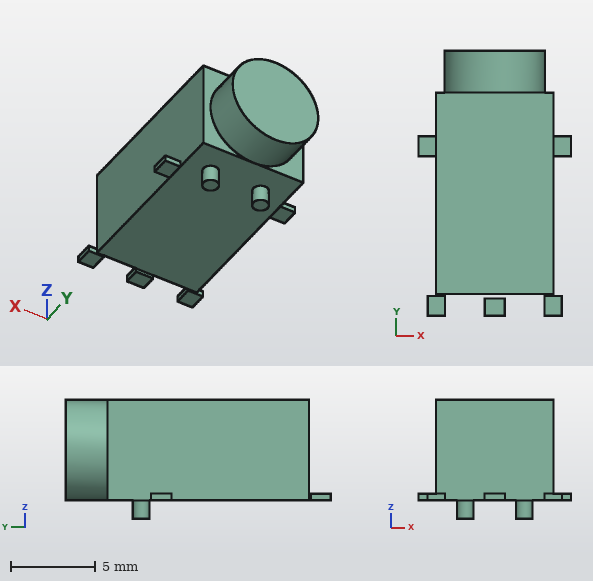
import cadquery as cq

housing_width = 7.0
housing_length = 12.0
housing_height = 6.0

barrel_diameter = 6.0
barrel_length = 2.5

peg_diameter = 1.0
peg_length = 1.1
peg_spacing = 3.5
peg_setback = 2.0

pad_thickness = 0.4
overall_width = 9.1
side_pad_length = 1.2
side_pad_setback = 2.6
rear_reach = 1.3
corner_pad_width = 1.05
corner_pad_length = 1.2
corner_pad_span = 8.0
centre_pad_width = 1.2
centre_pad_length = 1.05


def make_block(width, length, height, x_centre, y_start):
    """Upright block standing on Z = 0, running from y_start towards +Y."""
    return (
        cq.Workplane("XY")
        .box(width, length, height, centered=(True, False, False))
        .translate((x_centre, y_start, 0))
    )


def make_barrel():
    """Cylinder along Y that starts on the barrel-end face of the housing."""
    return (
        cq.Workplane("XZ", origin=(0, housing_length, housing_height / 2))
        .circle(barrel_diameter / 2)
        .extrude(-barrel_length)
    )


def make_peg(side):
    """Round peg hanging from the underside of the housing."""
    return (
        cq.Workplane("XY")
        .center(side * peg_spacing / 2, housing_length - peg_setback)
        .circle(peg_diameter / 2)
        .extrude(-peg_length)
    )


def make_side_pad(side):
    """Pad that touches a long side of the housing and reaches the overall width."""
    pad_width = (overall_width - housing_width) / 2
    x_centre = side * (housing_width + pad_width) / 2
    y_start = housing_length - side_pad_setback - side_pad_length
    return make_block(pad_width, side_pad_length, pad_thickness, x_centre, y_start)


def make_corner_pad(side):
    """Pad behind a rear corner of the housing."""
    x_centre = side * (corner_pad_span - corner_pad_width) / 2
    return make_block(corner_pad_width, corner_pad_length, pad_thickness, x_centre, -rear_reach)


def make_centre_pad():
    """Pad behind the middle of the rear face."""
    return make_block(centre_pad_width, centre_pad_length, pad_thickness, 0, -rear_reach)


sides = (-1, 1)
housing = make_block(housing_width, housing_length, housing_height, 0, 0)
barrel = make_barrel()
pegs = [make_peg(side).val() for side in sides]
side_pads = [make_side_pad(side).val() for side in sides]
corner_pads = [make_corner_pad(side).val() for side in sides]
centre_pad = make_centre_pad()

result = cq.Compound.makeCompound(
    [housing.val(), barrel.val(), *pegs, *side_pads, *corner_pads, centre_pad.val()]
)